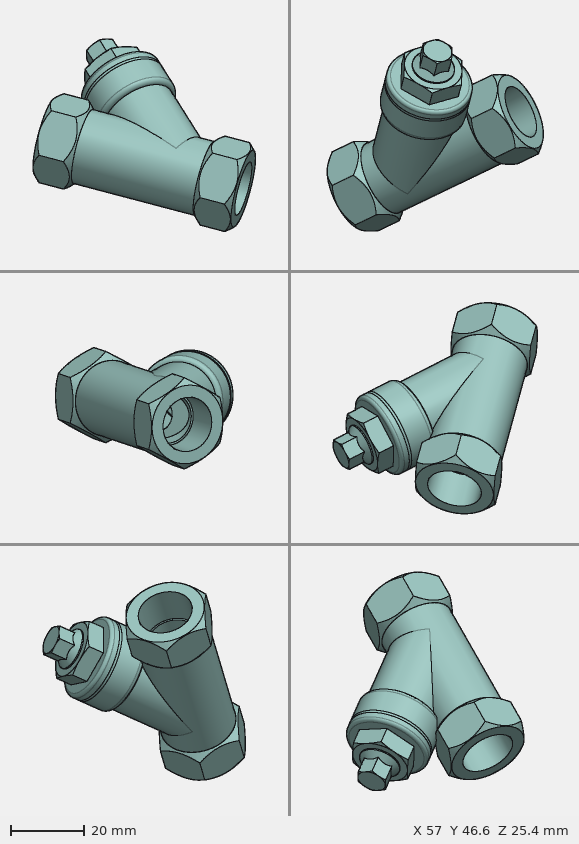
import cadquery as cq
import math

hex_sides = 6

run_length = 57.0
pipe_radius = 10.5
end_hex_flats = 22.0
end_hex_length = 11.0
end_hex_outer_chamfer_radius = 10.9
end_hex_inner_chamfer_radius = 10.55

socket_radius = 7.5
socket_depth = end_hex_length
bore_radius = 6.95
inlet_face_x = 0.9
inlet_bore_end_x = 1.35

branch_x = 9.2
branch_angle = 45.0
chamber_radius = 8.1
seat_top = 2.75
seat_bottom = 0.0
seat_radius = 5.0

collar_bottom = 22.75
collar_top = 31.05
gasket_top = 31.85
flange_top = 34.5
bonnet_hex_top = 39.6
boss_top = 40.0
stem_tip = 46.4

collar_radius = 11.95
collar_fillet = collar_radius - pipe_radius
flange_fillet = 1.0
bonnet_hex_flats = 15.95
boss_radius = 5.85
stem_hex_flats = 8.0
bonnet_hex_turn = -1.0
bonnet_hex_chamfer_angle = 20.0

tilt = math.radians(branch_angle)
branch_frame = cq.Plane(
    origin=(branch_x, 0, 0),
    xDir=(0, 0, 1),
    normal=(-math.cos(tilt), math.sin(tilt), 0),
)

top_face = cq.selectors.DirectionMinMaxSelector(branch_frame.zDir)
bottom_face = cq.selectors.DirectionMinMaxSelector(branch_frame.zDir, False)


def corner_diameter(flats):
    """Diameter across the corners of a hexagon given its width across flats."""
    return flats / math.cos(math.pi / hex_sides)


def branch_cylinder(radius, start, end):
    """Cylinder on the branch axis between two stations."""
    return cq.Workplane(branch_frame).workplane(offset=start).circle(radius).extrude(end - start)


def branch_hexagon(flats, start, end):
    """Hexagonal prism on the branch axis, its top corners turned off down to the width across flats."""
    corner_radius = corner_diameter(flats) / 2
    chamfer_width = corner_radius - flats / 2
    chamfer_drop = chamfer_width * math.tan(math.radians(bonnet_hex_chamfer_angle))
    prism = (
        cq.Workplane(branch_frame)
        .workplane(offset=start)
        .transformed(rotate=(0, 0, bonnet_hex_turn))
        .polygon(hex_sides, 2 * corner_radius)
        .extrude(end - start)
    )
    turned_bar = branch_cylinder(corner_radius, start, end).faces(top_face).edges()
    return prism.intersect(turned_bar.chamfer(chamfer_drop, chamfer_width))


def run_cylinder(radius, start_x, end_x):
    """Cylinder on the run axis between two X positions."""
    return cq.Workplane("YZ").workplane(offset=start_x).circle(radius).extrude(end_x - start_x)


def end_hexagon():
    """Hexagon at the inlet end, its corners turned off by a 45 degree cone on both faces."""
    outer_x = -run_length / 2
    inner_x = outer_x + end_hex_length
    corner_radius = corner_diameter(end_hex_flats) / 2
    outer_cut = corner_radius - end_hex_outer_chamfer_radius
    inner_cut = corner_radius - end_hex_inner_chamfer_radius
    prism = (
        cq.Workplane("YZ")
        .workplane(offset=outer_x)
        .transformed(rotate=(0, 0, 90))
        .polygon(hex_sides, 2 * corner_radius)
        .extrude(end_hex_length)
    )
    chamfered_envelope = (
        cq.Workplane("XY")
        .moveTo(outer_x, 0)
        .lineTo(outer_x, end_hex_outer_chamfer_radius)
        .lineTo(outer_x + outer_cut, corner_radius)
        .lineTo(inner_x - inner_cut, corner_radius)
        .lineTo(inner_x, end_hex_inner_chamfer_radius)
        .lineTo(inner_x, 0)
        .close()
        .revolve(360, (0, 0, 0), (1, 0, 0))
    )
    return prism.intersect(chamfered_envelope)


def run_passages():
    """Sockets at both ends, and the inlet and outlet bores that stop at the seat wall."""
    end_x = run_length / 2
    inlet_socket = run_cylinder(socket_radius, -end_x, -end_x + socket_depth)
    outlet_socket = run_cylinder(socket_radius, end_x - socket_depth, end_x)
    beyond_inlet_face = run_cylinder(run_length, inlet_face_x, run_length)
    branch_core = branch_cylinder(pipe_radius, -run_length, run_length).intersect(beyond_inlet_face)
    inlet_bore = run_cylinder(bore_radius, -end_x, inlet_bore_end_x).cut(branch_core)
    above_seat_wall = branch_cylinder(run_length, seat_bottom, run_length)
    outlet_bore = run_cylinder(bore_radius, 0, end_x).cut(above_seat_wall)
    return inlet_socket.union(inlet_bore).union(outlet_socket).union(outlet_bore)


def make_housing():
    """Y-shaped housing: run, end hexagons, branch with its collar, and all passages."""
    inlet_hexagon = end_hexagon()
    outlet_hexagon = inlet_hexagon.mirror("YZ")
    collar = (
        branch_cylinder(collar_radius, collar_bottom, collar_top)
        .faces(bottom_face)
        .edges()
        .fillet(collar_fillet)
    )
    run = run_cylinder(pipe_radius, -run_length / 2 + end_hex_length, run_length / 2 - end_hex_length)
    outside = (
        run.union(branch_cylinder(pipe_radius, 0, collar_top))
        .union(collar)
        .union(inlet_hexagon)
        .union(outlet_hexagon)
    )
    chamber = branch_cylinder(chamber_radius, seat_top, collar_top)
    seat_hole = branch_cylinder(seat_radius, seat_bottom, seat_top)
    return outside.cut(run_passages()).cut(chamber).cut(seat_hole)


def make_gasket():
    """Flat ring between the housing collar and the bonnet flange."""
    ring = branch_cylinder(collar_radius, collar_top, gasket_top)
    return ring.cut(branch_cylinder(chamber_radius, collar_top, gasket_top))


def make_boss():
    """Short cylinder on the bonnet hexagon, topped by a 45 degree cone that runs into the stem."""
    cone_height = boss_radius - stem_hex_flats / 2
    cylinder = branch_cylinder(boss_radius, bonnet_hex_top, boss_top + cone_height)
    return cylinder.faces(top_face).edges().chamfer(cone_height)


def make_bonnet():
    """Bonnet: rounded flange, spanner hexagon, conical boss and hexagonal stem."""
    flange = (
        branch_cylinder(collar_radius, gasket_top, flange_top)
        .faces(top_face)
        .edges()
        .fillet(flange_fillet)
    )
    spanner_hexagon = branch_hexagon(bonnet_hex_flats, flange_top, bonnet_hex_top)
    stem = branch_hexagon(stem_hex_flats, bonnet_hex_top, stem_tip)
    return flange.union(spanner_hexagon).union(make_boss()).union(stem)


housing = make_housing()
gasket = make_gasket()
bonnet = make_bonnet()

result = cq.Compound.makeCompound([body.solids().val() for body in (housing, gasket, bonnet)])